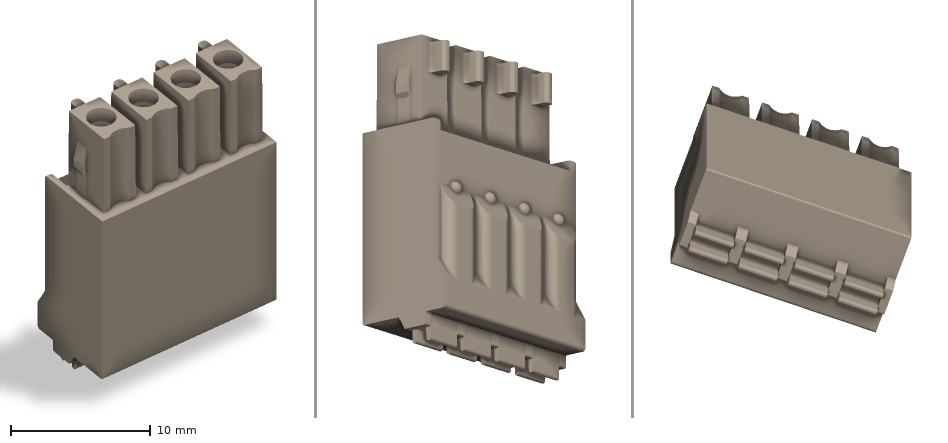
import cadquery as cq
import math

total_height = 22.9
body_depth = 7.75
body_width = 15.65

pole_count = 4
pole_pitch = 3.8
pole_places = [(i - (pole_count - 1) / 2) * pole_pitch for i in range(pole_count)]

body_bottom = 1.95
body_top = 16.25
face_x = 0.87
lip_top = 4.28
face_slope_angle = 30.0
face_slope_height = face_x / math.tan(math.radians(face_slope_angle))
lip_round = 0.25
rear_round = 0.14
wall_round = 0.27

ledge_z = 15.4
side_wall = 0.5

tower_front = 2.8
tower_back = 6.98
tower_top_width = 2.8
tower_base_width = 2.93
back_groove_depth = 0.32
back_groove_width = 1.75

well_x = 4.79
well_radius = 1.1
well_radius_low = 0.95
well_depth = 1.05
funnel_radius = 0.73
funnel_depth = 0.11
socket_radius = 0.62
socket_depth = 0.18

tab_length = 1.28
tab_width = 0.8
tab_tip_round = 0.32
tab_root_round = 0.35
tab_top = 22.5
tab_bottom = 20.25

latch_x = 3.85
latch_width = 1.05
latch_root = 0.11
latch_reach = 7.49
strip_reach = 7.24
latch_top = 20.85
latch_crest = 19.4
latch_lower = 18.75
latch_bottom = 18.45
latch_crest_round = 1.6

hump_width = 3.23
hump_top = 11.38

ball_radius = 0.5

foot_front = 1.83
foot_back_bottom = 3.78
foot_back_top = 4.35
foot_bottom = 0.98
foot_round = 0.14
pin_pair_front = 1.9
pin_pair_back = 3.62
pin_root = 0.53
pin_tip = 0.4
pin_tip_round = 0.18
pin_width = 2.9
pin_clearance = 0.05


def side_prism(points, width):
    """Extrude an X-Z outline symmetrically along Y."""
    return cq.Workplane("XZ").polyline(points).close().extrude(width / 2, both=True)


def ball(x, y, z):
    return cq.Workplane("XY").sphere(ball_radius).translate((x, y, z))


def housing():
    block = side_prism(
        [
            (0, body_bottom),
            (body_depth, body_bottom),
            (body_depth, body_top),
            (face_x, body_top),
            (face_x, lip_top + face_slope_height),
            (0, lip_top),
        ],
        body_width,
    )
    block = block.edges("|Y and <X and <Z").fillet(lip_round)
    block = block.edges("|Y and >X and <Z").fillet(rear_round)
    front_top_edge = cq.selectors.NearestToPointSelector((face_x, 0, body_top))
    block = block.edges(front_top_edge).fillet(wall_round)
    ledge_space = cq.Workplane("XY").box(
        tower_front, body_width - 2 * side_wall, total_height, centered=(False, True, False)
    )
    return block.cut(ledge_space.translate((0, 0, ledge_z)))


def hump(y):
    """Vertical hump with quarter-round sides and a sloping upper end."""
    half = hump_width / 2
    flat = half - face_x
    mid_x = face_x * (1 - math.sqrt(0.5))
    mid_y = flat + face_x * math.sqrt(0.5)
    bar = (
        cq.Workplane("XY")
        .moveTo(tower_front, -half)
        .lineTo(face_x, -half)
        .threePointArc((mid_x, -mid_y), (0, -flat))
        .lineTo(0, flat)
        .threePointArc((mid_x, mid_y), (face_x, half))
        .lineTo(tower_front, half)
        .close()
        .extrude(hump_top)
    )
    envelope = side_prism(
        [
            (0, lip_top - face_x),
            (0, hump_top - face_slope_height),
            (face_x, hump_top),
            (tower_front, hump_top),
            (tower_front, lip_top - face_x),
        ],
        body_width,
    )
    return bar.intersect(envelope).translate((0, y, 0))


def tower(y):
    """Post with drafted sides, a rounded groove down its back and a screw well in its top."""
    post = (
        cq.Workplane("YZ", origin=(tower_front, 0, 0))
        .moveTo(-tower_base_width / 2, ledge_z)
        .lineTo(tower_base_width / 2, ledge_z)
        .lineTo(tower_base_width / 2, body_top)
        .lineTo(tower_top_width / 2, total_height)
        .lineTo(-tower_top_width / 2, total_height)
        .lineTo(-tower_base_width / 2, body_top)
        .close()
        .extrude(tower_back - tower_front)
    )
    half = back_groove_width / 2
    groove = (
        cq.Workplane("XY", origin=(0, 0, body_top))
        .moveTo(tower_back, -half)
        .threePointArc((tower_back - back_groove_depth, 0), (tower_back, half))
        .close()
        .extrude(total_height - body_top)
    )
    funnel_z = total_height - well_depth
    socket_z = funnel_z - funnel_depth
    floor_z = socket_z - socket_depth
    well = (
        cq.Workplane("XZ")
        .moveTo(0, total_height)
        .lineTo(well_radius, total_height)
        .lineTo(well_radius_low, funnel_z)
        .lineTo(funnel_radius, socket_z)
        .lineTo(socket_radius, floor_z)
        .lineTo(0, floor_z)
        .close()
        .revolve(360, (0, 0, 0), (0, 1, 0))
        .translate((well_x, 0, 0))
    )
    return post.cut(groove).cut(well).translate((0, y, 0))


def tab(y):
    """Front tab with a rounded tip and flared root."""
    tip_x = tower_front - tab_length
    tongue = (
        cq.Workplane("XY")
        .box(tab_length, tab_width, tab_top - tab_bottom, centered=(False, True, False))
        .edges("|Z and <X")
        .fillet(tab_tip_round)
        .translate((tip_x, 0, 0))
    )
    root_half = tab_width / 2 + tab_root_round
    root_x = tower_front - tab_root_round
    root = cq.Workplane("XY").box(
        tab_root_round, 2 * root_half, tab_top - tab_bottom, centered=(False, True, False)
    )
    hollows = (
        cq.Workplane("XY")
        .pushPoints([(root_x, -root_half), (root_x, root_half)])
        .circle(tab_root_round)
        .extrude(tab_top - tab_bottom)
    )
    flare = root.translate((root_x, 0, 0)).cut(hollows)
    return tongue.union(flare).translate((0, y, tab_bottom))


def latch():
    """Snap latch above a thin strip on the +Y side of the last tower."""
    tower_middle = pole_places[-1]
    draft = (tower_base_width - tower_top_width) / 2 / (total_height - body_top)
    tower_side = tower_middle + tower_top_width / 2 + draft * (total_height - latch_top)
    latch_body = (
        cq.Workplane("YZ", origin=(latch_x, 0, 0))
        .moveTo(tower_side - latch_root, ledge_z)
        .lineTo(strip_reach, ledge_z)
        .lineTo(strip_reach, latch_bottom)
        .lineTo(latch_reach, latch_lower)
        .lineTo(latch_reach, latch_crest)
        .lineTo(tower_side, latch_top)
        .lineTo(tower_side - latch_root, latch_top)
        .close()
        .extrude(latch_width)
    )
    crest = cq.selectors.NearestToPointSelector((latch_x + latch_width / 2, latch_reach, latch_crest))
    return latch_body.edges(crest).fillet(latch_crest_round)


def foot():
    """Foot under the housing, interrupted where the pins stand."""
    bar = side_prism(
        [
            (foot_front, body_bottom + foot_round),
            (foot_front, foot_bottom),
            (foot_back_bottom, foot_bottom),
            (foot_back_top, body_bottom),
            (foot_back_top, body_bottom + foot_round),
        ],
        body_width,
    )
    bar = bar.edges("|Y and <X and <Z").fillet(foot_round)
    corner = cq.Workplane("XY").box(foot_round, body_width, foot_round, centered=(False, True, False))
    corner = corner.translate((foot_front - foot_round, 0, body_bottom - foot_round))
    hollow = (
        cq.Workplane("XZ")
        .center(foot_front - foot_round, body_bottom - foot_round)
        .circle(foot_round)
        .extrude(body_width / 2, both=True)
    )
    bar = bar.union(corner.cut(hollow))
    for y in pole_places:
        notch = cq.Workplane("XY").box(
            body_depth, pin_width + 2 * pin_clearance, body_bottom, centered=(False, True, False)
        )
        bar = bar.cut(notch.translate((0, y, 0)))
    return bar


def pin_pair(y):
    """Two flat pins whose facing sides taper towards rounded tips."""
    pins = cq.Workplane("XY")
    for outer_x, inward in ((pin_pair_front, 1), (pin_pair_back, -1)):
        blade = side_prism(
            [
                (outer_x, 0),
                (outer_x, body_bottom + foot_round),
                (outer_x + inward * pin_root, body_bottom + foot_round),
                (outer_x + inward * pin_tip, 0),
            ],
            pin_width,
        )
        pins = pins.union(blade.edges("|Y and <Z").fillet(pin_tip_round))
    return pins.translate((0, y, 0))


part = housing().union(foot())
for pole_y in pole_places:
    part = part.union(hump(pole_y))
    part = part.union(tower(pole_y))
    part = part.union(tab(pole_y))
    part = part.union(pin_pair(pole_y))
    part = part.union(ball(face_x, pole_y, hump_top))
    part = part.union(ball(tower_front, pole_y, ledge_z))

part = part.union(latch()).union(latch().mirror("XZ"))
result = part